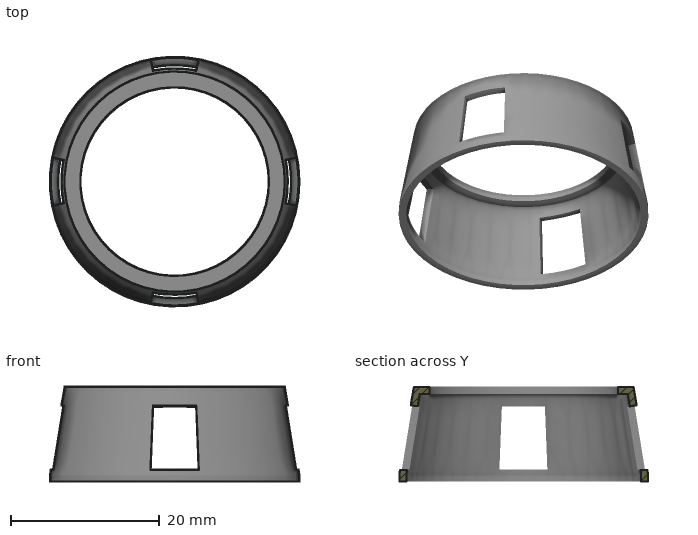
import cadquery as cq

base_radius = 16.8
top_radius = 14.83
height = 12.78
rim_height = 0.8

wall = 1.0
lip_height = 1.0
opening_radius = 12.67

window_bottom = 1.6
window_top = 10.25
window_bottom_width = 6.45
window_top_width = 5.78

wall_slope = (base_radius - top_radius) / (height - rim_height)
lip_bottom = height - lip_height
lip_outer_radius = base_radius - wall_slope * (lip_bottom - rim_height)


def make_shell():
    """Revolve the wall section, given as (radius, height) points."""
    section = [
        (base_radius, 0),
        (base_radius, rim_height),
        (top_radius, height),
        (opening_radius, height),
        (opening_radius, lip_bottom),
        (lip_outer_radius - wall, lip_bottom),
        (base_radius - wall, rim_height),
        (base_radius - wall, 0),
    ]
    return cq.Workplane("XZ").polyline(section).close().revolve(360, (0, 0), (0, 1))


def make_window(angle):
    """Tapered window cutter; its head is square to the sloping wall, its sill is level."""
    front_outline = [
        (-window_bottom_width / 2, window_bottom),
        (window_bottom_width / 2, window_bottom),
        (window_top_width / 2, window_top),
        (-window_top_width / 2, window_top),
    ]
    head_radius = base_radius - wall_slope * (window_top - rim_height)
    head_drop = wall_slope * head_radius
    side_outline = [
        (0, window_bottom),
        (base_radius, window_bottom),
        (base_radius, window_top),
        (head_radius, window_top),
        (0, window_top - head_drop),
    ]
    front_prism = cq.Workplane("XZ").polyline(front_outline).close().extrude(-base_radius)
    side_prism = cq.Workplane("YZ").polyline(side_outline).close().extrude(window_bottom_width, both=True)
    return front_prism.intersect(side_prism).rotate((0, 0, 0), (0, 0, 1), angle)


result = make_shell()
for window_angle in (0, 90, 180, 270):
    result = result.cut(make_window(window_angle))